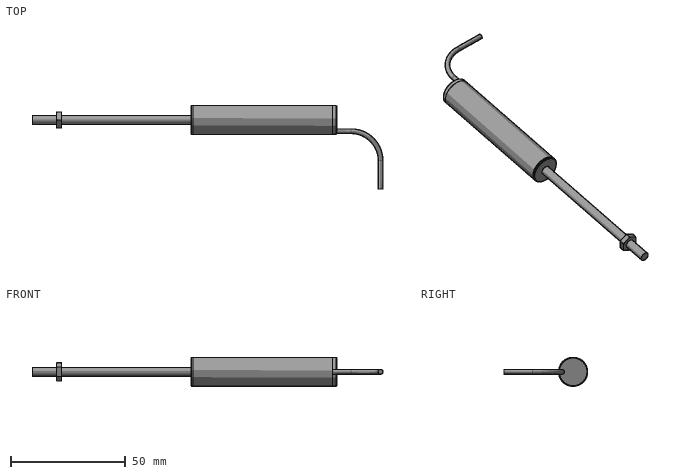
import cadquery as cq
import math

rod_diameter = 4.0
nut_start = 10.5
nut_thickness = 2.3
nut_across_flats = 7.0
nut_across_corners = nut_across_flats / math.cos(math.radians(30))
nut_chamfer = 0.3

body_diameter = 12.8
body_start = 69.5
body_end = 133.4
rim_chamfer = 0.3
rear_cap_length = 1.8
rear_cap_start = body_end - rear_cap_length
front_disc_thickness = 0.9
tube_start = body_start + front_disc_thickness

total_length = 153.6
total_width = 36.7
cable_diameter = 2.2
cable_offset = 4.9
cable_bend_radius = 12.9
cable_tail_x = total_length - cable_diameter / 2
cable_bend_start = cable_tail_x - cable_bend_radius
cable_bend_end_y = -cable_offset - cable_bend_radius
cable_end_y = body_diameter / 2 - total_width


def cylinder_x(start, end, diameter):
    """Solid cylinder on the X axis between two X positions."""
    return cq.Workplane("YZ", origin=(start, 0, 0)).circle(diameter / 2).extrude(end - start)


def make_rod():
    return cylinder_x(0, tube_start, rod_diameter)


def make_nut(rod):
    """Hex nut with two corners along Z and its corners chamfered on the -X face."""
    nut = (
        cq.Workplane("YZ", origin=(nut_start, 0, 0))
        .transformed(rotate=(0, 0, 90))
        .polygon(6, nut_across_corners)
        .extrude(nut_thickness)
    )
    corner_trim = cylinder_x(nut_start, nut_start + nut_thickness, nut_across_corners)
    return nut.intersect(corner_trim.faces("<X").chamfer(nut_chamfer)).cut(rod)


def make_front_disc(rod):
    """Disc on the tube end with a chamfered front rim and a hole for the rod."""
    disc = cylinder_x(body_start, tube_start, body_diameter)
    return disc.faces("<X").chamfer(rim_chamfer).cut(rod)


def make_tube():
    return cylinder_x(tube_start, rear_cap_start, body_diameter)


def cut_cable_slot(plate):
    """Cut a slot for the cable, round at its inner end and open toward -Y."""
    slot_length = body_diameter / 2
    slot = (
        cq.Workplane("XY", origin=(rear_cap_start, -cable_offset - slot_length / 2, 0))
        .box(body_end - rear_cap_start, slot_length, cable_diameter, centered=(False, True, True))
    )
    round_end = (
        cq.Workplane("YZ", origin=(rear_cap_start, -cable_offset, 0))
        .circle(cable_diameter / 2)
        .extrude(body_end - rear_cap_start)
    )
    return plate.cut(slot).cut(round_end)


def make_rear_cap():
    disc = cylinder_x(rear_cap_start, body_end, body_diameter)
    return cut_cable_slot(disc.faces(">X").chamfer(rim_chamfer))


def make_cable():
    """Round cable that starts on the tube end and runs out through the slot."""
    bend_middle = (
        cable_bend_start + cable_bend_radius * math.sin(math.radians(45)),
        cable_bend_end_y + cable_bend_radius * math.cos(math.radians(45)),
    )
    path = (
        cq.Workplane("XY")
        .moveTo(rear_cap_start, -cable_offset)
        .lineTo(cable_bend_start, -cable_offset)
        .threePointArc(bend_middle, (cable_tail_x, cable_bend_end_y))
        .lineTo(cable_tail_x, cable_end_y)
    )
    section = cq.Workplane("YZ", origin=(rear_cap_start, -cable_offset, 0)).circle(cable_diameter / 2)
    return section.sweep(path)


rod = make_rod()
nut = make_nut(rod)
front_disc = make_front_disc(rod)
tube = make_tube()
rear_cap = make_rear_cap()
cable = make_cable()

result = cq.Compound.makeCompound([
    rod.val(),
    nut.val(),
    front_disc.val(),
    tube.val(),
    rear_cap.val(),
    cable.val(),
])